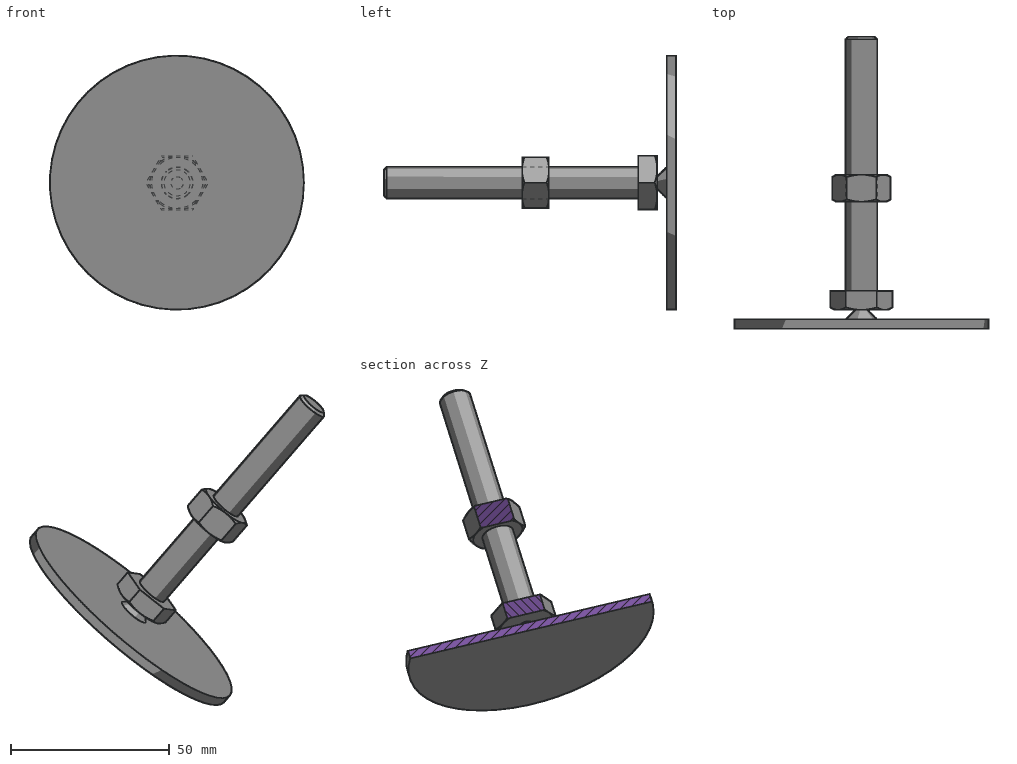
import cadquery as cq
import math

TOTAL_LENGTH = 92.0

PLATE_DIAMETER = 80.0
PLATE_THICKNESS = 3.0
NECK_BASE_DIAMETER = 9.75
NECK_TOP_DIAMETER = 3.9
NECK_HEIGHT = (NECK_BASE_DIAMETER - NECK_TOP_DIAMETER) / 2

HEAD_FLATS = 17.0
HEAD_HEIGHT = 6.0
HEAD_START = PLATE_THICKNESS + NECK_HEIGHT
SHANK_DIAMETER = 10.0
SHANK_START = HEAD_START + HEAD_HEIGHT
SHANK_CHAMFER = 0.9

NUT_FLATS = 16.0
NUT_HEIGHT = 8.5
NUT_START = 40.0

BEVEL_ANGLE = math.radians(30)


def along_y(start):
    """Workplane at the given Y whose extrusions run toward +Y, with local X along X."""
    return cq.Workplane(cq.Plane(origin=(0, start, 0), xDir=(1, 0, 0), normal=(0, 1, 0)))


def hexagon(start, height, flats, bevel_top):
    """Hexagonal prism with corners on the X axis, bevelled below and optionally above."""
    corner_radius = flats / math.sqrt(3)
    face_radius = flats / 2
    bevel = (corner_radius - face_radius) * math.tan(BEVEL_ANGLE)
    end = start + height
    prism = along_y(start).polygon(6, 2 * corner_radius).extrude(height)
    profile = cq.Workplane("XY").moveTo(0, start).lineTo(face_radius, start)
    profile = profile.lineTo(corner_radius, start + bevel)
    if bevel_top:
        profile = profile.lineTo(corner_radius, end - bevel).lineTo(face_radius, end)
    else:
        profile = profile.lineTo(corner_radius, end)
    envelope = profile.lineTo(0, end).close().revolve(360, (0, 0, 0), (0, 1, 0))
    return prism.intersect(envelope)


def make_foot():
    plate = along_y(0).circle(PLATE_DIAMETER / 2).extrude(PLATE_THICKNESS)
    neck = cq.Solid.makeCone(
        NECK_BASE_DIAMETER / 2,
        NECK_TOP_DIAMETER / 2,
        NECK_HEIGHT,
        pnt=cq.Vector(0, PLATE_THICKNESS, 0),
        dir=cq.Vector(0, 1, 0),
    )
    return plate.union(cq.Workplane(neck))


def make_screw():
    head = hexagon(HEAD_START, HEAD_HEIGHT, HEAD_FLATS, bevel_top=False)
    shank = along_y(SHANK_START).circle(SHANK_DIAMETER / 2).extrude(TOTAL_LENGTH - SHANK_START)
    shank = shank.faces(">Y").chamfer(SHANK_CHAMFER)
    return head.union(shank)


def make_nut():
    bore = along_y(NUT_START).circle(SHANK_DIAMETER / 2).extrude(NUT_HEIGHT)
    return hexagon(NUT_START, NUT_HEIGHT, NUT_FLATS, bevel_top=True).cut(bore)


foot = make_foot()
screw = make_screw()
nut = make_nut()

result = cq.Compound.makeCompound([foot.val(), screw.val(), nut.val()])